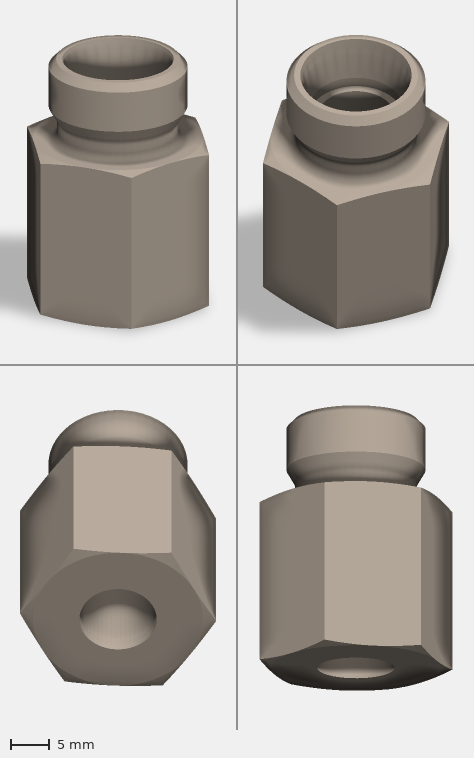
import cadquery as cq
import math

total_height = 33.0
across_flats = 22.0
across_corners = across_flats / math.cos(math.radians(30))
hex_height = 22.0
hex_chamfer_angle = 15.0

collar_radius = 18.0 / 2
collar_chamfer = 1.0
collar_bottom = 26.53
neck_radius = 15.7 / 2
undercut_angle = 30.0
neck_fillet = 1.0

bore_radius = 10.0 / 2
seat_radius = 12.0 / 2
mouth_radius = 14.4 / 2
cone_half_angle = 12.0
seat_depth = 7.0


def make_hex_body():
    """Hexagon with corners on the Y axis, both ends chamfered by cones."""
    prism = (
        cq.Workplane("XY")
        .polygon(6, across_corners)
        .extrude(hex_height)
        .rotate((0, 0, 0), (0, 0, 1), 30)
    )
    flat_radius = across_flats / 2
    corner_radius = across_corners / 2
    corner_drop = (corner_radius - flat_radius) * math.tan(math.radians(hex_chamfer_angle))
    envelope = (
        cq.Workplane("XZ")
        .moveTo(0, 0)
        .lineTo(flat_radius, 0)
        .lineTo(corner_radius, corner_drop)
        .lineTo(corner_radius, hex_height - corner_drop)
        .lineTo(flat_radius, hex_height)
        .lineTo(0, hex_height)
        .close()
        .revolve(360, (0, 0), (0, 1))
    )
    return prism.intersect(envelope)


def make_round_end():
    """Chamfered collar, undercut cone and neck, with fillets at both ends of the neck."""
    slope = math.radians(undercut_angle)
    cone_tip = collar_bottom - (collar_radius - neck_radius) / math.tan(slope)
    tangent_length = neck_fillet * math.tan(slope / 2)
    upper_fillet_start = cone_tip - tangent_length
    upper_fillet_end = (
        neck_radius + tangent_length * math.sin(slope),
        cone_tip + tangent_length * math.cos(slope),
    )
    upper_fillet_middle = (
        neck_radius + neck_fillet * (1 - math.cos(slope / 2)),
        upper_fillet_start + neck_fillet * math.sin(slope / 2),
    )
    diagonal = neck_fillet * math.sqrt(0.5)
    lower_fillet_middle = (
        neck_radius + neck_fillet - diagonal,
        hex_height + neck_fillet - diagonal,
    )
    return (
        cq.Workplane("XZ")
        .moveTo(0, hex_height)
        .lineTo(neck_radius + neck_fillet, hex_height)
        .threePointArc(lower_fillet_middle, (neck_radius, hex_height + neck_fillet))
        .lineTo(neck_radius, upper_fillet_start)
        .threePointArc(upper_fillet_middle, upper_fillet_end)
        .lineTo(collar_radius, collar_bottom)
        .lineTo(collar_radius, total_height - collar_chamfer)
        .lineTo(collar_radius - collar_chamfer, total_height)
        .lineTo(0, total_height)
        .close()
        .revolve(360, (0, 0), (0, 1))
    )


def make_bore():
    """Through bore, stepping up to a cylindrical seat and a tapered mouth."""
    seat_floor = total_height - seat_depth
    cone_depth = (mouth_radius - seat_radius) / math.tan(math.radians(cone_half_angle))
    return (
        cq.Workplane("XZ")
        .moveTo(0, 0)
        .lineTo(bore_radius, 0)
        .lineTo(bore_radius, seat_floor)
        .lineTo(seat_radius, seat_floor)
        .lineTo(seat_radius, total_height - cone_depth)
        .lineTo(mouth_radius, total_height)
        .lineTo(0, total_height)
        .close()
        .revolve(360, (0, 0), (0, 1))
    )


result = make_hex_body().union(make_round_end()).cut(make_bore())